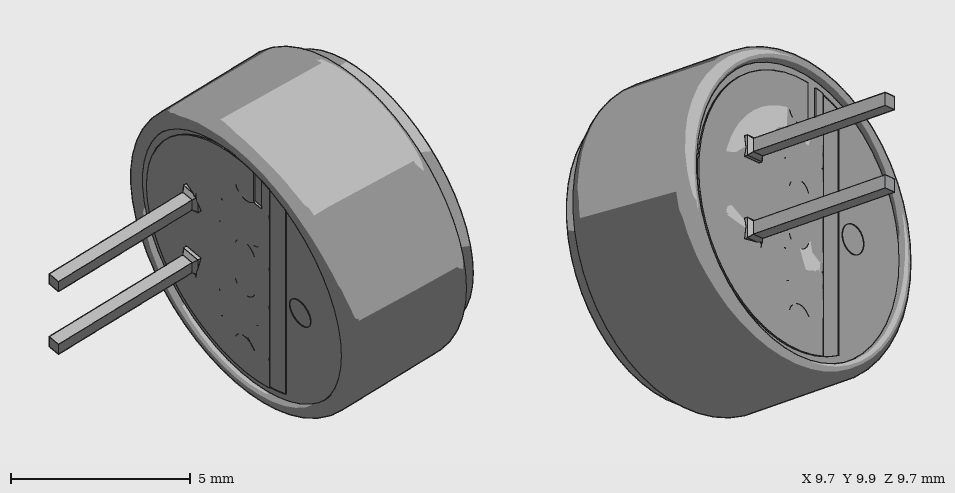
import cadquery as cq
import math

can_diameter = 9.7
can_length = 4.5
can_edge_radius = 0.5
rim_bore_diameter = 8.72
rim_lip_radius = 0.15
cap_diameter = 8.72
cap_height = 0.4

board_y = 0.25
land_thickness = 0.05
thin_copper_thickness = 0.02
copper_radius = 4.13
land_right_x = 1.13
strip_right_x = 1.8
slot_left_x = 0.46
slot_right_x = 0.8
slot_bottom_z = 2.94
dot_diameter = 0.9
dot_x = 2.41

pin_size = 0.4
pin_length = 5.0
pin_x = -2.0
pin_z = 1.25
collar_margin = 0.11
collar_front_y = -0.12
collar_shoulder_y = 0.0

mound_top_y = -0.03
mound_crest_radius = 0.35
mound_hip_radius = 0.2
mound_tip_right_x = -1.75
mound_hips_left_x = -0.7
waist_x = 0.07

foot_outer_radius = 3.1
foot_inner_z = 0.67
foot_tip_x = -2.93
foot_tip_bulge = (-2.89, 0.75)
foot_tip_inner_x = -2.71
foot_waist_left_x = -0.32
foot_waist_inner_z = 1.04
foot_waist_inner_right_x = 0.51
foot_waist_outer_z = 2.735
foot_waist_outer_right_x = 0.52
foot_right_bulge_x = 0.85
foot_outer_bulge_x = -1.8

crest_outer_radius = 2.37
crest_inner_z = 1.4
crest_tip_x = -1.9
crest_tip_bulge = (-1.91, 1.405)
crest_tip_inner_x = -1.88
crest_right_x = 0.8
crest_right_inner_z = 1.56
crest_right_outer_z = 1.98
crest_right_outer_bulge = (0.53, 2.015)
crest_waist_inner_left_x = -0.76
crest_waist_inner_z = 1.79
crest_waist_inner_right = (0.54, 1.68)
crest_waist_outer_left_x = -0.65
crest_waist_outer_bulge = (-0.15, 2.04)
crest_waist_outer_right = (0.26, 2.03)
crest_outer_bulge_x = -1.4

embed = 0.1

can_radius = can_diameter / 2
land_top_y = board_y - land_thickness


def face_plane(y):
    """Plane at depth y with local axes X and Z, extruding towards -Y."""
    return cq.Workplane("XZ", origin=(0, y, 0))


def on_circle(radius, x):
    """Point of the upper half of a circle about the can axis at a given x."""
    return (x, math.sqrt(radius**2 - x**2))


def make_can():
    """Revolved can with a rounded rear edge, a rolled front rim and a rear cap."""
    bore_radius = rim_bore_diameter / 2
    cap_radius = cap_diameter / 2
    back_y = can_length + cap_height
    edge_r = can_radius - can_edge_radius
    diagonal = can_edge_radius * math.sqrt(0.5)

    lip_r = bore_radius + rim_lip_radius
    lip_y = rim_lip_radius
    center_gap = can_edge_radius - rim_lip_radius
    edge_y = lip_y + math.sqrt(center_gap**2 - (lip_r - edge_r) ** 2)
    tangent_angle = math.acos((lip_r - edge_r) / center_gap)

    def edge_arc_point(angle):
        return (
            edge_r + can_edge_radius * math.cos(angle),
            edge_y - can_edge_radius * math.sin(angle),
        )

    profile = (
        cq.Workplane("XY")
        .moveTo(0, board_y)
        .lineTo(bore_radius, board_y)
        .lineTo(bore_radius, lip_y)
        .threePointArc((lip_r, 0), edge_arc_point(tangent_angle))
        .threePointArc(edge_arc_point(tangent_angle / 2), (can_radius, edge_y))
        .lineTo(can_radius, can_length - can_edge_radius)
        .threePointArc(
            (edge_r + diagonal, can_length - can_edge_radius + diagonal),
            (edge_r, can_length),
        )
        .lineTo(cap_radius, can_length)
        .lineTo(cap_radius, back_y)
        .lineTo(0, back_y)
        .close()
    )
    return profile.revolve(360, (0, 0, 0), (0, 1, 0))


def make_copper(left_x, right_x, thickness):
    """Part of the copper disc between two x positions."""
    disc = face_plane(board_y + embed).circle(copper_radius).extrude(embed + thickness)
    band = cq.Workplane("XY").box(
        right_x - left_x, can_length, can_diameter, centered=(False, True, True)
    )
    return disc.intersect(band.translate((left_x, 0, 0)))


def make_slot():
    """Cutter for the slot that splits the upper land from the mound outwards."""
    block = cq.Workplane("XY").box(
        slot_right_x - slot_left_x, can_length, can_radius, centered=False
    )
    return block.translate((slot_left_x, board_y - can_length, slot_bottom_z))


def make_dot():
    """Thin round copper spot right of the strip."""
    return (
        face_plane(board_y + embed)
        .center(dot_x, 0)
        .circle(dot_diameter / 2)
        .extrude(embed + thin_copper_thickness)
    )


def mound_foot(sketch):
    """Foot outline of the upper mound on the land."""
    outer = foot_outer_radius
    return (
        sketch.moveTo(*on_circle(outer, foot_tip_x))
        .threePointArc(foot_tip_bulge, (foot_tip_inner_x, foot_inner_z))
        .lineTo(foot_waist_left_x, foot_inner_z)
        .threePointArc((waist_x, foot_waist_inner_z), (foot_waist_inner_right_x, foot_inner_z))
        .lineTo(land_right_x, foot_inner_z)
        .lineTo(*on_circle(outer, land_right_x))
        .threePointArc(
            on_circle(outer, foot_right_bulge_x),
            on_circle(outer, foot_waist_outer_right_x),
        )
        .threePointArc((waist_x, foot_waist_outer_z), on_circle(outer, foot_waist_left_x))
        .threePointArc(on_circle(outer, foot_outer_bulge_x), on_circle(outer, foot_tip_x))
        .close()
    )


def mound_crest(sketch):
    """Crest outline of the upper mound, matching the foot edge by edge."""
    outer = crest_outer_radius
    return (
        sketch.moveTo(*on_circle(outer, crest_tip_x))
        .threePointArc(crest_tip_bulge, (crest_tip_inner_x, crest_inner_z))
        .lineTo(crest_waist_inner_left_x, crest_inner_z)
        .threePointArc((waist_x, crest_waist_inner_z), crest_waist_inner_right)
        .lineTo(crest_right_x, crest_right_inner_z)
        .lineTo(crest_right_x, crest_right_outer_z)
        .threePointArc(crest_right_outer_bulge, crest_waist_outer_right)
        .threePointArc(crest_waist_outer_bulge, on_circle(outer, crest_waist_outer_left_x))
        .threePointArc(on_circle(outer, crest_outer_bulge_x), on_circle(outer, crest_tip_x))
        .close()
    )


def make_mound():
    """Upper mound lofted from foot to crest, rounded except on its sharp tip under the pin."""
    foot = mound_foot(face_plane(land_top_y))
    sharp = mound_crest(foot.workplane(offset=land_top_y - mound_top_y)).loft(ruled=True)
    right_block = cq.Workplane("XY").box(
        can_diameter, can_length, can_diameter, centered=(False, True, True)
    )
    body_side = right_block.translate((mound_tip_right_x, 0, 0))
    tip = sharp.cut(body_side)
    body = sharp.intersect(body_side)

    middle_y = (land_top_y + mound_top_y) / 2
    margin = (land_top_y - mound_top_y) / 4
    hips = cq.selectors.BoxSelector(
        (mound_hips_left_x, middle_y - margin, 0),
        (can_radius, middle_y + margin, can_radius),
    )
    body = body.edges(hips).fillet(mound_hip_radius)
    body = body.faces("<Y").edges("not(<X)").fillet(mound_crest_radius)
    return body.union(tip)


def make_pin():
    """Upper square pin with a flared solder collar at its root."""
    collar_size = pin_size + 2 * collar_margin
    pin = (
        face_plane(board_y)
        .center(pin_x, pin_z)
        .rect(pin_size, pin_size)
        .extrude(board_y + pin_length)
    )
    foot = (
        face_plane(board_y)
        .center(pin_x, pin_z)
        .rect(collar_size, collar_size)
        .extrude(board_y - collar_shoulder_y)
    )
    flare = (
        face_plane(collar_shoulder_y)
        .center(pin_x, pin_z)
        .rect(collar_size, collar_size)
        .workplane(offset=collar_shoulder_y - collar_front_y)
        .rect(pin_size, pin_size)
        .loft(ruled=True)
    )
    return pin.union(foot).union(flare)


mound = make_mound()
pin = make_pin()
land = make_copper(-can_radius, land_right_x, land_thickness)
strip = make_copper(land_right_x, strip_right_x, thin_copper_thickness)

copper = land.union(mound).cut(make_slot())
copper = copper.union(mound.mirror("XY"))

result = make_can().union(copper).union(strip).union(make_dot())
result = result.union(pin).union(pin.mirror("XY"))